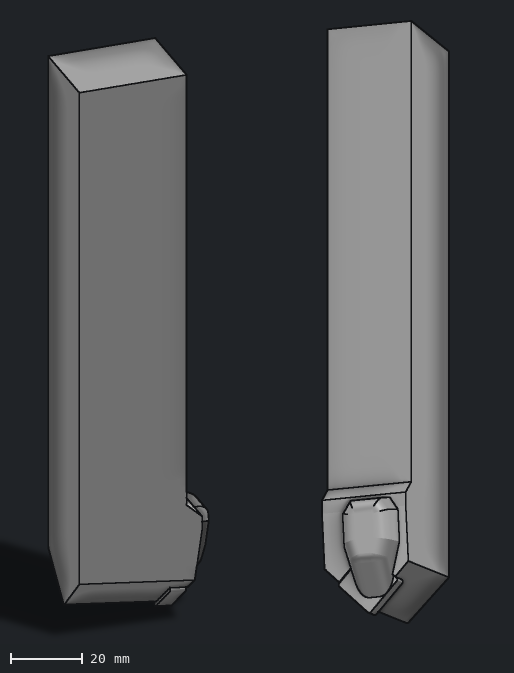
import cadquery as cq
import math

TOOL_LENGTH = 171.4
WIDTH = 24.8
FRONT_WIDTH = 24.7
SHANK_DEPTH = 32.0
MID_X = WIDTH / 2

HEAD_DEPTH = 36.7
HEAD_TOP_Z = 32.7
HEAD_SLOPE_END_Z = 37.0
HEAD_TILT_Z = 28.8
TILT = 8.0
LEAN = math.tan(math.radians(TILT))
NOSE_FRONT_Z = 5.7
NOSE_RADIUS = 0.7

INSERT_SIDE = 12.7
INSERT_THICKNESS = 4.8
INSERT_CORNER_RADIUS = 0.7
INSERT_REACH = INSERT_SIDE / math.sqrt(2) - INSERT_CORNER_RADIUS * (math.sqrt(2) - 1)

CLAMP_X = -1.9
CLAMP_PEAK = 34.3
CLAMP_TOP = 32.0
CLAMP_CREST = 31.2
CLAMP_SHOULDER = 28.5
CLAMP_WAIST = 19.2
CLAMP_BOTTOM = 4.3
CLAMP_TOP_WIDTH = 8.5
CLAMP_WIDTH = 16.8
CLAMP_BOTTOM_WIDTH = 8.5
CLAMP_HEIGHT = 7.0
CLAMP_DRAFT = 20.0
CLAMP_EDGE_RADIUS = 4.5
CLAMP_NOSE_START = 14.4


def seat_plane():
    """Plane of the insert face: origin at the tip, local y up the seat, normal pointing back."""
    tilt = math.radians(TILT)
    return cq.Plane(
        origin=(MID_X, SHANK_DEPTH, 0),
        xDir=(-1, 0, 0),
        normal=(0, math.cos(tilt), -math.sin(tilt)),
    )


def make_side_profile():
    """Shank and head as one prism along X."""
    outline = [
        (0, 0),
        (HEAD_DEPTH - LEAN * HEAD_TILT_Z, 0),
        (HEAD_DEPTH, HEAD_TILT_Z),
        (HEAD_DEPTH, HEAD_TOP_Z),
        (SHANK_DEPTH, HEAD_SLOPE_END_Z),
        (SHANK_DEPTH, TOOL_LENGTH),
        (0, TOOL_LENGTH),
    ]
    return cq.Workplane("YZ").polyline(outline).close().extrude(WIDTH)


def make_plan_envelope():
    """Upright column that gives the +X side its taper."""
    outline = [(0, 0), (FRONT_WIDTH, 0), (WIDTH, HEAD_DEPTH), (0, HEAD_DEPTH)]
    return cq.Workplane("XY").polyline(outline).close().extrude(TOOL_LENGTH)


def make_nose_envelope():
    """Right-angled V whose flanks descend towards the back of the head."""
    reach = 2 * HEAD_DEPTH
    drop = reach * LEAN
    height = 2 * TOOL_LENGTH
    shoulder = NOSE_FRONT_Z + WIDTH
    outline = [
        (MID_X, NOSE_FRONT_Z),
        (MID_X + WIDTH, shoulder),
        (MID_X + WIDTH, height),
        (MID_X - WIDTH, height),
        (MID_X - WIDTH, shoulder),
    ]
    front = cq.Wire.makePolygon([cq.Vector(x, 0, z) for x, z in outline], close=True)
    direction = cq.Vector(0, reach, -drop)
    prism = cq.Workplane(obj=cq.Solid.extrudeLinear(front, [], direction))
    ridge = prism.edges(cq.selectors.ParallelDirSelector(direction)).edges("<Z")
    return ridge.fillet(NOSE_RADIUS)


def make_insert_block(thickness):
    """Square with rounded corners; positive thickness lies behind the seat plane."""
    return (
        cq.Workplane(seat_plane())
        .center(0, INSERT_REACH)
        .transformed(rotate=(0, 0, 45))
        .rect(INSERT_SIDE, INSERT_SIDE)
        .extrude(thickness)
        .edges(cq.selectors.ParallelDirSelector(seat_plane().zDir))
        .fillet(INSERT_CORNER_RADIUS)
    )


def make_clamp():
    """Drafted finger with a sloping nose and rounded outer edges."""
    right_side = [
        (CLAMP_BOTTOM_WIDTH / 2, CLAMP_BOTTOM),
        (CLAMP_WIDTH / 2, CLAMP_WAIST),
        (CLAMP_WIDTH / 2, CLAMP_SHOULDER),
        (CLAMP_TOP_WIDTH / 2, CLAMP_PEAK),
    ]
    left_side = [(-x, y) for x, y in reversed(right_side)]
    body = (
        cq.Workplane("XY")
        .polyline(right_side + left_side)
        .close()
        .extrude(CLAMP_HEIGHT, taper=CLAMP_DRAFT)
    )
    side_profile = (
        cq.Workplane("YZ")
        .polyline([
            (CLAMP_BOTTOM, 0),
            (CLAMP_NOSE_START, CLAMP_HEIGHT),
            (CLAMP_CREST, CLAMP_HEIGHT),
            (CLAMP_TOP, 0),
        ])
        .close()
        .extrude(CLAMP_WIDTH / 2, both=True)
    )
    blank = body.intersect(side_profile)
    outer_edges = blank.faces(">Z").edges()
    nose_sides = blank.faces("<Y").edges("not |X")
    finger = outer_edges.add(nose_sides).fillet(CLAMP_EDGE_RADIUS)
    located = finger.val().moved(cq.Location(seat_plane()))
    return cq.Workplane(obj=located).translate((CLAMP_X, 0, 0))


def make_holder():
    blank = make_side_profile().intersect(make_plan_envelope()).intersect(make_nose_envelope())
    seat = make_insert_block(-INSERT_THICKNESS)
    opening = make_insert_block(HEAD_DEPTH - SHANK_DEPTH)
    return blank.cut(seat).cut(opening).union(make_clamp()).solids()


insert = make_insert_block(-INSERT_THICKNESS)
holder = make_holder()

result = cq.Compound.makeCompound([holder.val(), insert.val()])